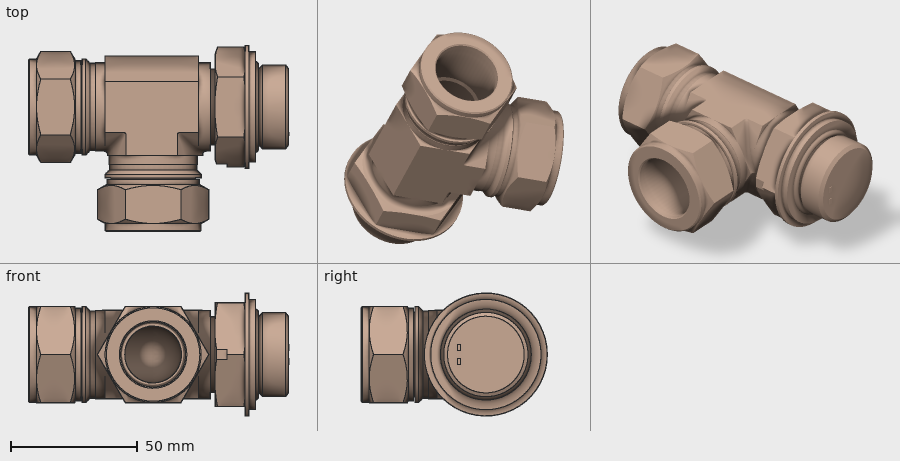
import cadquery as cq
import math

HEX_HALF_SECTOR = math.pi / 6


PORT_LENGTH = 49.15
BORE_DIA = 22.35
SOCKET_DIA = 25.6
SOCKET_DEPTH = 24.0
SOCKET_CHAMFER = 0.5

RUN_TURN = ((0, 0, 0), (0, 0, 1), 180)
BRANCH_TURN = ((0, 0, 0), (0, 0, 1), -90)

NUT_FLATS = 38.0
NUT_END_DIA = 37.8
NUT_END_CHAMFER = 0.5
NUT_OUTER_FACE = 46.0
NUT_SKIRT_DIA = 36.5
NUT_SKIRT_START = 30.5
NUT_INNER_FACE = 28.5
HEX_CHAMFER_ANGLE = 30.0

GROOVE_DIA = 33.34
COLLAR_DIA = 38.0
COLLAR_OUTER_FACE = 28.0
COLLAR_INNER_FACE = 26.6
RELIEF_DIA = 34.5
NECK_DIA = 34.9
NECK_END = 22.6

BODY_FLATS = NECK_DIA
BODY_CENTER_X = -0.55
BODY_LENGTH = 37.0
BODY_BRANCH_END = 19.15
CROTCH_FILLET = 1.2
CREASE_MIN_SPAN = 0.5

STUD_SHANK_DIA = 29.9
THREAD_DIA = 33.23
THREAD_START = 41.5
THREAD_LEAD_IN = 1.7
STUD_END = 53.35
STUD_CHAMFER_LENGTH = 1.2
STUD_CHAMFER_DEPTH = 1.5

LOCK_NUT_FLATS = 41.0
LOCK_NUT_START = 24.4
LOCK_NUT_END = 36.3
LOCK_NUT_BACK_DIA = 41.5
LOCK_NUT_BACK_CHAMFER = 1.0
LOCK_NUT_FRONT_DIA = 43.5
LOCK_NUT_FRONT_CHAMFER = 0.6
LOCK_NUT_MARK_LENGTH = 4.8
LOCK_NUT_MARK_RADIUS = 22.5
WASHER_DIA = 48.5
WASHER_END = 37.7
RETAINER_DIA = 43.5
RETAINER_END = 40.4
O_RING_SECTION = 3.0
O_RING_X = 40.1

PAD_HEIGHT = 0.25
PAD_Y = -10.6
PAD_Z = 2.75
PAD_WIDTH = 1.2
PAD_LENGTH = 2.4


def hex_corner_radius(flats):
    return flats / math.sqrt(3)


def revolve_about_x(points):
    """Solid of revolution about X from (x, radius) points."""
    return cq.Workplane("XY").polyline(points).close().revolve(360, (0, 0, 0), (1, 0, 0))


def cylinder_along_x(diameter, start, end):
    return cq.Workplane("YZ", origin=(start, 0, 0)).circle(diameter / 2).extrude(end - start)


def hex_along_x(flats, start, end):
    """Hexagonal prism along X with corners on the Y axis."""
    prism = cq.Workplane("YZ", origin=(start, 0, 0))
    return prism.polygon(6, 2 * hex_corner_radius(flats)).extrude(end - start)


def compression_nut():
    """Nut around +X: chamfered hexagon, plain rim at the open end, short skirt towards the body."""
    slope = math.tan(math.radians(HEX_CHAMFER_ANGLE))
    corner = hex_corner_radius(NUT_FLATS)
    skirt = NUT_SKIRT_DIA / 2
    rim = NUT_END_DIA / 2
    envelope = revolve_about_x([
        (NUT_SKIRT_START, 0),
        (NUT_SKIRT_START, skirt),
        (NUT_SKIRT_START + (corner - skirt) * slope, corner),
        (NUT_OUTER_FACE - (corner - rim) * slope, corner),
        (NUT_OUTER_FACE, rim),
        (NUT_OUTER_FACE, 0),
    ])
    hexagon = hex_along_x(NUT_FLATS, NUT_SKIRT_START, NUT_OUTER_FACE).intersect(envelope)
    skirt_ring = cylinder_along_x(NUT_SKIRT_DIA, NUT_INNER_FACE, NUT_SKIRT_START)
    rim_ring = cylinder_along_x(NUT_END_DIA, NUT_OUTER_FACE, PORT_LENGTH)
    rim_ring = rim_ring.faces(">X").chamfer(NUT_END_CHAMFER)
    return hexagon.union(skirt_ring).union(rim_ring)


def port_neck():
    """Port neck around +X beyond the body: relief, collar with a conical back, groove under the nut."""
    relief = RELIEF_DIA / 2
    collar = COLLAR_DIA / 2
    groove = GROOVE_DIA / 2
    return revolve_about_x([
        (NECK_END, 0),
        (NECK_END, relief),
        (COLLAR_INNER_FACE - (collar - relief), relief),
        (COLLAR_INNER_FACE, collar),
        (COLLAR_OUTER_FACE, collar),
        (COLLAR_OUTER_FACE, groove),
        (NUT_INNER_FACE, groove),
        (NUT_INNER_FACE, 0),
    ])


def port_cavity():
    """Bore around +X from the axis crossing, with a wider tube socket and a chamfered mouth."""
    bore = BORE_DIA / 2
    socket = SOCKET_DIA / 2
    socket_bottom = PORT_LENGTH - SOCKET_DEPTH
    return revolve_about_x([
        (0, 0),
        (0, bore),
        (socket_bottom, bore),
        (socket_bottom, socket),
        (PORT_LENGTH - SOCKET_CHAMFER, socket),
        (PORT_LENGTH, socket + SOCKET_CHAMFER),
        (PORT_LENGTH, 0),
    ])


def at_tube_ports(shape):
    """Copies a shape built around +X onto the run port (-X) and the branch port (-Y)."""
    return shape.rotate(*RUN_TURN).union(shape.rotate(*BRANCH_TURN))


def crosses_all_axes(edge):
    """True for an edge that advances along X, Y and Z, as only the crotch creases do."""
    span = edge.endPoint() - edge.startPoint()
    return min(abs(span.x), abs(span.y), abs(span.z)) > CREASE_MIN_SPAN


def forged_body():
    """Run and branch prisms meeting in filleted crotches, with a plain round neck at each end.

    The run's -Y corner and the branch's -X corner are rounded off flush with the necks.
    """
    corner = hex_corner_radius(BODY_FLATS)
    half_flat = corner / 2
    radius = BODY_FLATS / 2
    tangent_across = radius * math.cos(HEX_HALF_SECTOR)
    tangent_up = radius * math.sin(HEX_HALF_SECTOR)
    block_left = BODY_CENTER_X - BODY_LENGTH / 2
    block_right = BODY_CENTER_X + BODY_LENGTH / 2

    def prism(plane, origin, length):
        """Hexagonal prism with a sharp corner on local +X and a rounded one on local -X."""
        return (
            cq.Workplane(plane, origin=origin)
            .moveTo(corner, 0)
            .lineTo(half_flat, radius)
            .lineTo(-half_flat, radius)
            .lineTo(-tangent_across, tangent_up)
            .threePointArc((-radius, 0), (-tangent_across, -tangent_up))
            .lineTo(-half_flat, -radius)
            .lineTo(half_flat, -radius)
            .close()
            .extrude(length)
        )

    run = prism("YZ", (block_left, 0, 0), BODY_LENGTH)
    branch = prism("XZ", (BODY_CENTER_X, 0, 0), BODY_BRANCH_END)
    left_neck = cylinder_along_x(NECK_DIA, -NECK_END, block_left)
    right_neck = cylinder_along_x(NECK_DIA, block_right, NECK_END)
    branch_neck = cylinder_along_x(NECK_DIA, BODY_BRANCH_END, NECK_END).rotate(*BRANCH_TURN)

    body = run.union(branch).union(left_neck).union(right_neck)
    creases = [edge for edge in body.edges().vals() if crosses_all_axes(edge)]
    return body.newObject(creases).fillet(CROTCH_FILLET).union(branch_neck)


def stud():
    """Solid stud around +X beyond the body: shank and chamfered thread envelope."""
    shank = STUD_SHANK_DIA / 2
    thread = THREAD_DIA / 2
    return revolve_about_x([
        (NECK_END, 0),
        (NECK_END, shank),
        (THREAD_START, shank),
        (THREAD_START + THREAD_LEAD_IN, thread),
        (STUD_END - STUD_CHAMFER_LENGTH, thread),
        (STUD_END, thread - STUD_CHAMFER_DEPTH),
        (STUD_END, 0),
    ])


def stud_pads():
    pads = cq.Workplane("YZ", origin=(STUD_END, 0, 0)).pushPoints([(PAD_Y, PAD_Z), (PAD_Y, -PAD_Z)])
    return pads.rect(PAD_WIDTH, PAD_LENGTH).extrude(PAD_HEIGHT)


def lock_nut():
    """Chamfered hexagon nut with a short flat on its -Y corner."""
    corner = hex_corner_radius(LOCK_NUT_FLATS)
    envelope = revolve_about_x([
        (LOCK_NUT_START, 0),
        (LOCK_NUT_START, LOCK_NUT_BACK_DIA / 2),
        (LOCK_NUT_START + LOCK_NUT_BACK_CHAMFER, corner),
        (LOCK_NUT_END - LOCK_NUT_FRONT_CHAMFER, corner),
        (LOCK_NUT_END, LOCK_NUT_FRONT_DIA / 2),
        (LOCK_NUT_END, 0),
    ])
    mark = cq.Workplane("XY").box(
        LOCK_NUT_MARK_LENGTH, LOCK_NUT_MARK_RADIUS, LOCK_NUT_FLATS, centered=(False, False, True)
    )
    mark = mark.translate((LOCK_NUT_START, -2 * LOCK_NUT_MARK_RADIUS, 0))
    return hex_along_x(LOCK_NUT_FLATS, LOCK_NUT_START, LOCK_NUT_END).intersect(envelope).cut(mark)


def seal_stack():
    """Washer, retaining ring and O-ring between the lock nut and the thread."""
    washer = cylinder_along_x(WASHER_DIA, LOCK_NUT_END, WASHER_END)
    retainer = cylinder_along_x(RETAINER_DIA, WASHER_END, RETAINER_END)
    ring_center = (STUD_SHANK_DIA + O_RING_SECTION) / 2
    o_ring = (
        cq.Workplane("XY")
        .center(O_RING_X, ring_center)
        .circle(O_RING_SECTION / 2)
        .revolve(360, (0, -ring_center, 0), (1, -ring_center, 0))
    )
    return washer.union(retainer).union(o_ring)


outside = (
    forged_body()
    .union(at_tube_ports(port_neck()))
    .union(at_tube_ports(compression_nut()))
    .union(stud())
    .union(stud_pads())
    .union(lock_nut())
    .union(seal_stack())
)
elbow = cq.Workplane("XY").sphere(BORE_DIA / 2)
result = outside.cut(at_tube_ports(port_cavity())).cut(elbow)